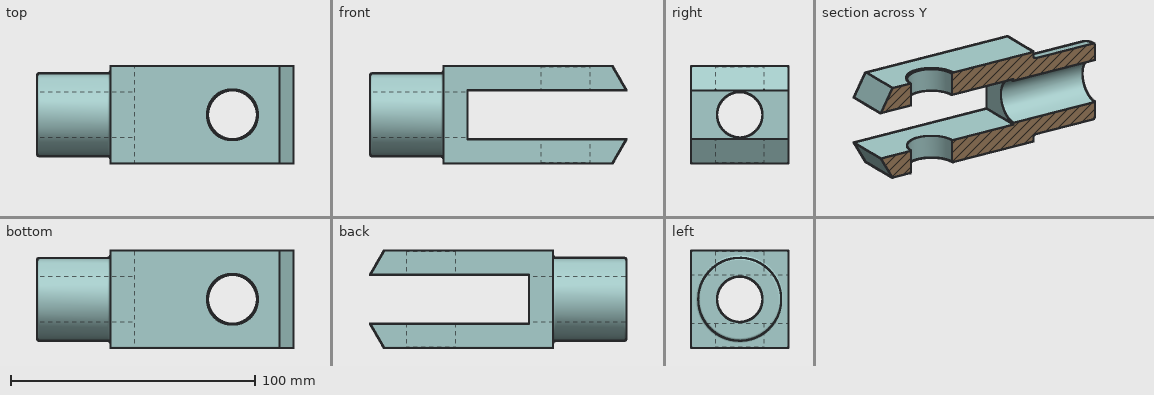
import cadquery as cq
import math

length = 105.0
body_side = 40.0
neck_length = 30.0
neck_diameter = 34.0
bore_diameter = 18.5
body_edge_radius = 0.6
neck_edge_radius = 1.0

slot_width = body_side / 2
slot_start = 40.0
tip_angle = 30.0
arm_thickness = (body_side - slot_width) / 2
tip_setback = arm_thickness * math.tan(math.radians(tip_angle))

pin_x = 80.0
pin_diameter = slot_width
pin_chamfer = 0.4


def make_body():
    """Square bar with its long edges softened."""
    body = cq.Workplane("YZ", origin=(neck_length, 0, 0)).rect(body_side, body_side)
    return body.extrude(length - neck_length).edges("|X").fillet(body_edge_radius)


def make_neck():
    """Round neck with a rounded free end and a concave fillet at the body."""
    radius = neck_diameter / 2
    r = neck_edge_radius
    diagonal = r * math.sqrt(0.5)
    profile = (
        cq.Workplane("XY")
        .lineTo(0, radius - r)
        .threePointArc((r - diagonal, radius - r + diagonal), (r, radius))
        .lineTo(neck_length - r, radius)
        .threePointArc(
            (neck_length - r + diagonal, radius + r - diagonal),
            (neck_length, radius + r),
        )
        .lineTo(slot_start, radius + r)
        .lineTo(slot_start, 0)
        .close()
    )
    return profile.revolve(360, (0, 0, 0), (1, 0, 0))


def make_slot():
    """Full-width slot, open at the arm tips."""
    slot_length = length - slot_start
    return cq.Workplane("XY").box(slot_length, body_side, slot_width).translate(
        (slot_start + slot_length / 2, 0, 0)
    )


def make_tip_bevel(side):
    """Wedge that slopes one arm tip; side is +1 for the top, -1 for the bottom."""
    corners = [
        (length, side * slot_width / 2),
        (length, side * body_side / 2),
        (length - tip_setback, side * body_side / 2),
    ]
    return cq.Workplane("XZ").polyline(corners).close().extrude(body_side / 2, both=True)


def make_pin_hole():
    """Cross hole along Z, chamfered at both outer faces."""
    radius = pin_diameter / 2
    top = body_side / 2
    profile = [
        (0, -top),
        (radius + pin_chamfer, -top),
        (radius, -top + pin_chamfer),
        (radius, top - pin_chamfer),
        (radius + pin_chamfer, top),
        (0, top),
    ]
    hole = cq.Workplane("XZ").polyline(profile).close().revolve(360, (0, 0, 0), (0, 1, 0))
    return hole.translate((pin_x, 0, 0))


bore = cq.Workplane("YZ").circle(bore_diameter / 2).extrude(slot_start)

result = make_body().union(make_neck()).cut(bore).cut(make_slot()).cut(make_pin_hole())
for side in (1, -1):
    result = result.cut(make_tip_bevel(side))